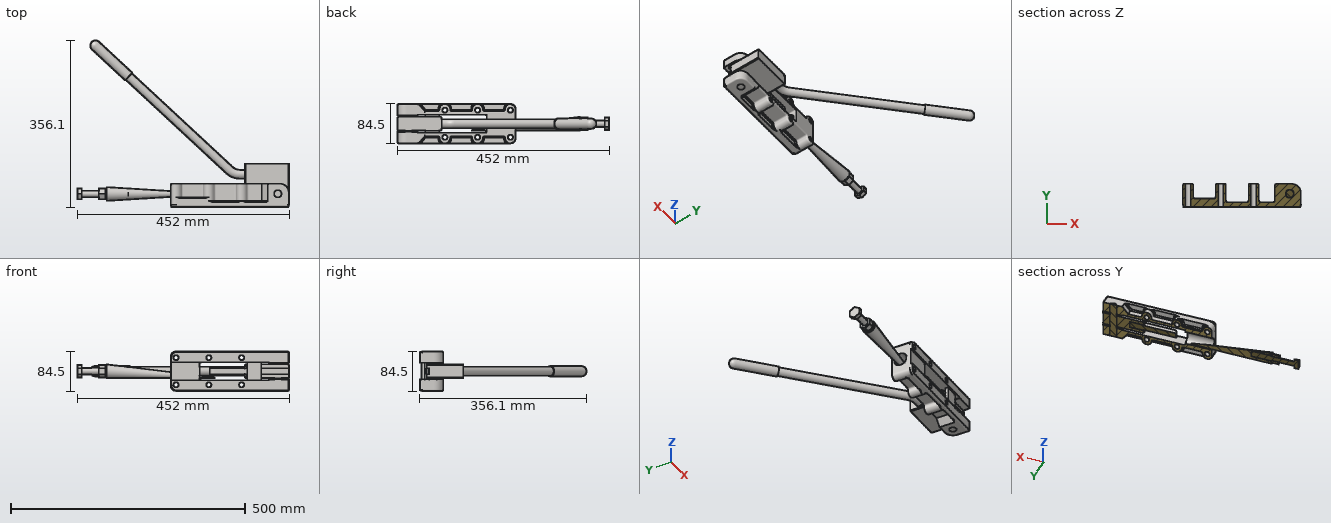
import cadquery as cq
import math


housing_left = 199.5
housing_right = 452.0
housing_height = 50.0
housing_width = 84.5
half_width = housing_width / 2
top_edge_radius = 3.0
bevel_height = 5.0
bevel_inset = 1.6
rear_corner_radius = 20.0

boss_radius = 11.5
boss_pitch = 70.0
boss_xs = [housing_left + boss_radius + i * boss_pitch for i in range(3)]
screw_diameter = 10.5
screw_z = 29.0
pocket_depth = 15.5
pocket_floor = half_width - pocket_depth
pocket_fillet = pocket_depth - boss_radius
front_pocket_wall = 18.5
rear_pocket_wall = 10.5
slope_top = 407.0
slope_run = 13.5
wall_chamfer = 2.5
pocket_clearance = 4.5

slot_half_width = 19.0
slot_rear_half_width = 17.5
slot_start = 261.3
slot_step = 408.0
slot_corner_radius = 3.0
bridge_start = 362.5
bridge_end = 393.0
bridge_top = 10.0
groove_depth = 3.0

axis_y = 28.0
plunger_start = 62.5
plunger_tip = 293.5
plunger_diameter = 30.0
tip_diameter = 1.5

hex_across_flats = 23.5
head_length = 9.5
bolt_diameter = 14.0
bolt_length = 108.5
nut_start = 45.5
nut_collar_length = 2.5

block_left = 357.5
block_bottom = 14.5
block_top = 93.0
block_width = 30.0
block_chamfer = 2.0
block_toe_chamfer = 4.5
pin_x = 428.0
pin_y = 28.5
pin_diameter = 16.0

link_start = 282.5
link_end = 388.5
tail_groove_depth = 5.0
link_thickness = 12.5
link_height = 2 * (axis_y - block_bottom)
link_nose_radius = 10.0

handle_diameter = 19.5
handle_y = 70.0
handle_bend_x = 347.0
handle_bend_radius = 32.5
handle_angle = 42.9
handle_straight = 391.0
grip_diameter = 22.5
grip_length = 97.0


def box(x0, x1, y0, y1, z0, z1):
    return cq.Workplane("XY").box(x1 - x0, y1 - y0, z1 - z0, centered=False).translate((x0, y0, z0))


def rod_along_x(x0, x1, diameter):
    return cq.Workplane("YZ", origin=(x0, axis_y, 0)).circle(diameter / 2).extrude(x1 - x0)


def hex_along_x(x0, x1):
    """Hexagonal prism around the plunger axis, with corners up and down in Z."""
    across_corners = hex_across_flats / math.cos(math.radians(30))
    profile = cq.Workplane("YZ", origin=(x0, axis_y, 0)).transformed(rotate=(0, 0, 90))
    return profile.polygon(6, across_corners).extrude(x1 - x0)


def boss_flank(path, boss_x, side, outward):
    """Add the round flank of a boss to a pocket outline, away from or back to the boss top."""
    s = math.sqrt(0.5)
    top = (boss_x, half_width)
    upper_mid = (boss_x + side * boss_radius * s, half_width - boss_radius * (1 - s))
    waist = (boss_x + side * boss_radius, half_width - boss_radius)
    lower_mid = (
        boss_x + side * (boss_radius + pocket_fillet * (1 - s)),
        pocket_floor + pocket_fillet * (1 - s),
    )
    foot = (boss_x + side * (boss_radius + pocket_fillet), pocket_floor)
    if outward:
        return path.threePointArc(upper_mid, waist).threePointArc(lower_mid, foot)
    return path.lineTo(*foot).threePointArc(lower_mid, waist).threePointArc(upper_mid, top)


def pocket(left_boss, right_boss, wall_y):
    """Pocket on the +Z side; without a right boss it ends in a slope."""
    path = cq.Workplane("XZ", origin=(0, housing_height, 0)).moveTo(left_boss, half_width)
    path = boss_flank(path, left_boss, 1, True)
    if right_boss is None:
        right_end = slope_top
        path = path.lineTo(slope_top - slope_run, pocket_floor).lineTo(slope_top, half_width)
    else:
        right_end = right_boss
        path = boss_flank(path, right_boss, -1, False)
    cutter_top = half_width + pocket_clearance
    path = path.lineTo(right_end, cutter_top).lineTo(left_boss, cutter_top)
    cutter = path.close().extrude(housing_height - wall_y)
    return cutter.faces("<Y").edges("not (>Z or |Z)").chamfer(wall_chamfer)


def make_housing():
    body = box(housing_left, housing_right, bevel_height, housing_height, -half_width, half_width)
    body = body.edges("|Y and <X").fillet(boss_radius)
    body = body.edges("|Z and >X and >Y").fillet(rear_corner_radius)
    bevel_angle = math.degrees(math.atan2(bevel_inset, bevel_height))
    body = body.faces("<Y").wires().toPending().workplane().extrude(bevel_height, taper=bevel_angle)

    first, second, third = boss_xs
    for left, right, wall in (
        (first, second, front_pocket_wall),
        (second, third, rear_pocket_wall),
        (third, None, rear_pocket_wall),
    ):
        cutter = pocket(left, right, wall)
        body = body.cut(cutter).cut(cutter.mirror("XY"))
    body = body.faces(">Y").edges().fillet(top_edge_radius)

    slot = box(slot_start, slot_step, 0, housing_height, -slot_half_width, slot_half_width)
    slot = slot.edges("|Y and <X").fillet(slot_corner_radius)
    slot = slot.union(
        box(slot_step, housing_right, 0, housing_height, -slot_rear_half_width, slot_rear_half_width)
    )
    bridge = box(bridge_start, bridge_end, 0, bridge_top, -slot_half_width, slot_half_width)
    body = body.cut(slot.cut(bridge))

    body = body.cut(box(housing_left, slot_step, 0, groove_depth, -slot_half_width, slot_half_width))

    body = body.cut(rod_along_x(housing_left, slot_start, plunger_diameter))
    screws = cq.Workplane("XZ").pushPoints([(x, z) for x in boss_xs for z in (-screw_z, screw_z)])
    body = body.cut(screws.circle(screw_diameter / 2).extrude(-housing_height))
    return body.cut(make_pin())


def make_plunger():
    """Oblique cone, level along its lowest line, with a socket for the bolt."""
    drop = (plunger_diameter - tip_diameter) / 2
    cone = (
        cq.Workplane("YZ", origin=(plunger_start, axis_y, 0))
        .circle(plunger_diameter / 2)
        .workplane(offset=plunger_tip - plunger_start)
        .center(0, -drop)
        .circle(tip_diameter / 2)
        .loft(ruled=True)
    )
    return cone.cut(rod_along_x(plunger_start, bolt_length, bolt_diameter))


def make_bolt():
    return hex_along_x(0, head_length).union(rod_along_x(head_length, bolt_length, bolt_diameter))


def make_nut():
    """Hex nut with a round collar seated on the plunger."""
    collar_start = plunger_start - nut_collar_length
    nut = hex_along_x(nut_start, collar_start)
    nut = nut.union(rod_along_x(collar_start, plunger_start, hex_across_flats))
    return nut.cut(rod_along_x(nut_start, plunger_start, bolt_diameter))


def make_block():
    half = block_width / 2
    block = box(block_left, housing_right, block_bottom, block_top, -half, half)
    block = block.edges("|Y").chamfer(block_chamfer)
    block = block.edges("|Z and <X and <Y").chamfer(block_toe_chamfer)
    link_half = link_thickness / 2
    channel_top = block_bottom + link_height
    groove_top = block_bottom + tail_groove_depth
    block = block.cut(box(block_left, link_end, block_bottom, channel_top, -link_half, link_half))
    block = block.cut(box(link_end, housing_right, block_bottom, groove_top, -link_half, link_half))
    return block.cut(make_pin())


def make_link():
    half = link_thickness / 2
    link = box(link_start, link_end, block_bottom, block_bottom + link_height, -half, half)
    return link.edges("|Z and <X").fillet(link_nose_radius)


def make_handle():
    """Bent rod screwed to the block face, ending in a thicker round-nosed grip."""
    angle = math.radians(handle_angle)

    def bend_point(turn):
        return (
            handle_bend_x - handle_bend_radius * math.sin(turn),
            handle_y + handle_bend_radius * (1 - math.cos(turn)),
        )

    bend_end = bend_point(angle)
    direction = cq.Vector(-math.cos(angle), math.sin(angle), 0)
    nose = cq.Vector(*bend_end, 0) + direction * handle_straight
    path = (
        cq.Workplane("XY")
        .moveTo(block_left, handle_y)
        .lineTo(handle_bend_x, handle_y)
        .threePointArc(bend_point(angle / 2), bend_end)
        .lineTo(nose.x, nose.y)
    )
    rod = cq.Workplane("YZ", origin=(block_left, handle_y, 0)).circle(handle_diameter / 2).sweep(path)
    grip_radius = grip_diameter / 2
    grip = cq.Solid.makeCylinder(grip_radius, grip_length, nose - direction * grip_length, direction)
    ball = cq.Workplane("XY").sphere(grip_radius).translate(nose)
    return rod.union(cq.Workplane(grip)).union(ball)


def make_pin():
    pin = cq.Workplane("XY", origin=(pin_x, pin_y, -half_width)).circle(pin_diameter / 2)
    return pin.extrude(housing_width)


housing = make_housing()
plunger = make_plunger()
bolt = make_bolt()
nut = make_nut()
block = make_block()
link = make_link()
handle = make_handle()
pin = make_pin()

result = cq.Compound.makeCompound(
    [
        housing.val(),
        plunger.val(),
        bolt.val(),
        nut.val(),
        block.val(),
        link.val(),
        handle.val(),
        pin.val(),
    ]
)